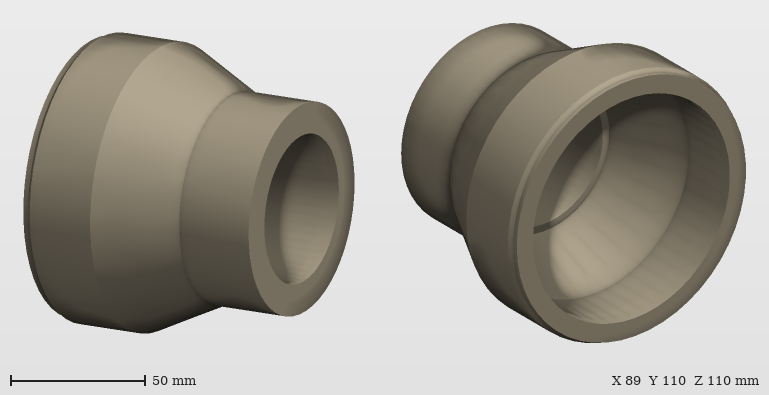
import cadquery as cq


total_length = 89.0
lip_length = 2.1
chamfer_length = 1.5
cone_start = 29.4
cone_end = 59.4
bore_cone_start = 25.5
bore_cone_end = 55.5

lip_diameter = 107.0
large_diameter = 110.0
small_diameter = 81.0

large_bore = 92.0
cone_bore_end = 63.0
small_bore = 57.0

chamfer_end = lip_length + chamfer_length

outer_profile = [
    (0, lip_diameter / 2),
    (lip_length, lip_diameter / 2),
    (chamfer_end, large_diameter / 2),
    (cone_start, large_diameter / 2),
    (cone_end, small_diameter / 2),
    (total_length, small_diameter / 2),
]
inner_profile = [
    (total_length, small_bore / 2),
    (bore_cone_end, small_bore / 2),
    (bore_cone_end, cone_bore_end / 2),
    (bore_cone_start, large_bore / 2),
    (0, large_bore / 2),
]

result = (
    cq.Workplane("XY")
    .polyline(outer_profile + inner_profile)
    .close()
    .revolve(360, (0, 0, 0), (1, 0, 0))
)